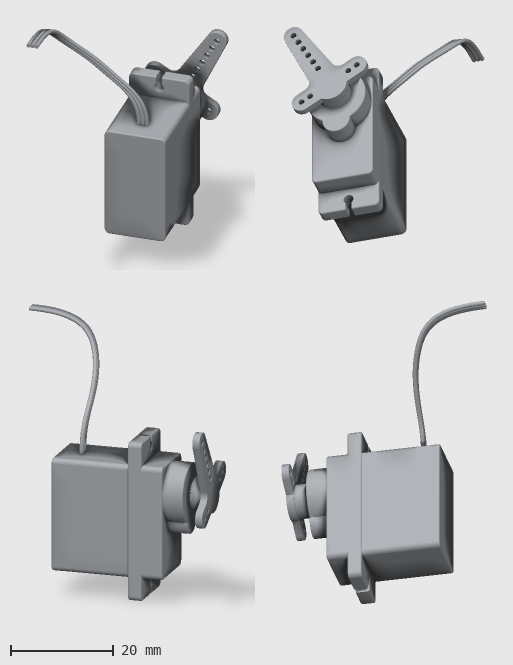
import cadquery as cq
import math


case_width = 12.4
case_height = 22.8
corner_radius = 1.0
edge_radius = 0.3
seam_y = 6.0
case_front_y = 22.65

flange_height = 32.1
flange_rear_y = 15.6
flange_thickness = 2.8
mount_hole_spacing = 27.55
mount_hole_diameter = 2.0
mount_slot_width = 1.2

axis_z = 5.15
dome_front_y = 26.8
dome_diameter = 12.0
small_dome_diameter = 5.6
small_dome_drop = 5.4
dome_edge_radius = 0.2
shaft_diameter = 4.5
tooth_count = 20
tooth_depth = 0.25

hub_rear_y = 27.5
hub_diameter = 6.8
plate_rear_y = 29.8
plate_thickness = 1.5
plate_disc_diameter = 7.25
arm_angle = 60
arm_length = 14.5
arm_root_radius = 3.1
tip_radius = 2.0
side_lobe_length = 6.5
horn_blend_radius = 1.65
plate_edge_radius = 0.15
horn_hole_diameter = 1.2
horn_hole_pitch = 2.0
arm_hole_count = 6
side_hole_count = 2

wire_diameter = 0.8
wire_count = 3
guide_end_shift = (2.55, 0, 0)
guide_bend_shift = (2.55, 0, 0.5)
wire_start = (0.25, 4.55, case_height / 2)
wire_bends = [(-5.7, 4.45, 21.15), (-10.15, 3.85, 24.95), (-14.4, 2.15, 28.7)]
wire_end = (-17.15, -11.75, 34.58)


def prism(outline, y_start, y_end):
    """Extrude an XZ outline from y_start forward to y_end."""
    return outline.extrude(y_start - y_end)


def plane_at(y, x=0, z=0):
    """XZ workplane whose local axes are X and Z."""
    return cq.Workplane("XZ", origin=(x, y, z))


def rounded_block(height, y_start, y_end):
    """Block of the case width with its four long edges rounded."""
    block = prism(plane_at(y_start).rect(case_width, height), y_start, y_end)
    return block.edges("|Y").fillet(corner_radius)


def cylinder(diameter, y_start, y_end, x=0, z=0):
    return prism(plane_at(y_start, x, z).circle(diameter / 2), y_start, y_end)


def make_flange():
    """Mounting plate with a keyhole slot open at each end."""
    front_y = flange_rear_y + flange_thickness
    flange = rounded_block(flange_height, flange_rear_y, front_y)
    flange = flange.faces("<Y or >Y").edges().fillet(edge_radius)
    for side in (-1, 1):
        hole_z = side * mount_hole_spacing / 2
        slot_length = flange_height / 2 - mount_hole_spacing / 2
        slot_z = hole_z + side * slot_length / 2
        slot_outline = plane_at(flange_rear_y, 0, slot_z).rect(mount_slot_width, slot_length)
        flange = flange.cut(prism(slot_outline, flange_rear_y, front_y))
        flange = flange.cut(cylinder(mount_hole_diameter, flange_rear_y, front_y, 0, hole_z))
    return flange


def make_dome():
    """Raised gear housing: a large and a small round boss joined together."""
    dome = cylinder(dome_diameter, case_front_y - edge_radius, dome_front_y, 0, axis_z)
    small_z = axis_z - small_dome_drop
    dome = dome.union(cylinder(small_dome_diameter, case_front_y - edge_radius, dome_front_y, 0, small_z))
    return dome.faces(">Y").edges().fillet(dome_edge_radius)


def make_shaft():
    """Toothed output shaft that ends against the horn hub."""
    tip = shaft_diameter / 2
    root = tip - tooth_depth
    quarter_pitch = math.pi / tooth_count / 2
    corner_radii = (tip, tip, root, root)
    points = []
    for i in range(4 * tooth_count):
        radius = corner_radii[i % 4]
        points.append((radius * math.cos(i * quarter_pitch), radius * math.sin(i * quarter_pitch)))
    outline = plane_at(dome_front_y, 0, axis_z).polyline(points).close()
    return prism(outline, dome_front_y, hub_rear_y)


def make_case():
    """Case body; the flange's rounded rear edge leaves a fine groove along the sides."""
    front = rounded_block(case_height, flange_rear_y + edge_radius, case_front_y)
    front = front.faces(">Y").edges().fillet(edge_radius)
    middle = rounded_block(case_height, seam_y, flange_rear_y)
    return middle.union(make_flange()).union(front).union(make_dome()).union(make_shaft())


def make_cover():
    cover = rounded_block(case_height, 0, seam_y)
    return cover.faces("<Y").edges().fillet(edge_radius)


def horn_arm(length, root_radius):
    """Arm along +X made of two round ends and their common tangents."""
    lean = math.asin((root_radius - tip_radius) / length)
    reach, rise = math.sin(lean), math.cos(lean)
    outline = (
        plane_at(plate_rear_y)
        .moveTo(root_radius * reach, root_radius * rise)
        .lineTo(length + tip_radius * reach, tip_radius * rise)
        .threePointArc((length + tip_radius, 0), (length + tip_radius * reach, -tip_radius * rise))
        .lineTo(root_radius * reach, -root_radius * rise)
        .threePointArc((-root_radius, 0), (root_radius * reach, root_radius * rise))
        .close()
    )
    return prism(outline, plate_rear_y, plate_rear_y + plate_thickness)


def make_horn():
    """Horn with one long arm, two side lobes and a hub, built along +X and then turned."""
    plate_front_y = plate_rear_y + plate_thickness
    arms = [
        (0, arm_length, arm_root_radius, arm_hole_count),
        (90, side_lobe_length, tip_radius, side_hole_count),
        (270, side_lobe_length, tip_radius, side_hole_count),
    ]
    plate = cylinder(hub_diameter, plate_rear_y, plate_front_y)
    for turn, length, root_radius, hole_count in arms:
        arm = horn_arm(length, root_radius).rotate((0, 0, 0), (0, 1, 0), -turn)
        plate = plate.union(arm)

    box = cq.selectors.BoxSelector((1, plate_rear_y - 0.5, -4.6), (4.6, plate_front_y + 0.5, 4.6))
    plate = plate.edges("|Y").edges(box).fillet(horn_blend_radius)
    plate = plate.union(cylinder(plate_disc_diameter, plate_rear_y, plate_front_y))
    plate = plate.faces("<Y").edges().fillet(plate_edge_radius)

    for turn, length, root_radius, hole_count in arms:
        for i in range(hole_count):
            distance = length - i * horn_hole_pitch
            x = distance * math.cos(math.radians(turn))
            z = distance * math.sin(math.radians(turn))
            plate = plate.cut(cylinder(horn_hole_diameter, plate_rear_y, plate_front_y, x, z))
    horn = plate.union(cylinder(hub_diameter, hub_rear_y, plate_rear_y))
    return horn.rotate((0, 0, 0), (0, 1, 0), -arm_angle).translate((0, 0, axis_z))


def shifted(point, shift):
    return tuple(p + d for p, d in zip(point, shift))


def make_wire(offset):
    """Round wire swept beside the middle of the ribbon."""
    points = [wire_start, *wire_bends, wire_end]
    path = cq.Workplane("XY").spline(points, tangents=[(0, 0, 1), (0, -1, 0)])
    guide_points = [
        shifted(wire_start, guide_end_shift),
        *[shifted(bend, guide_bend_shift) for bend in wire_bends],
        shifted(wire_end, guide_end_shift),
    ]
    guide = cq.Workplane("XY").spline(guide_points, tangents=[(0, 0, 1), (0, -1, 0)])
    section = cq.Workplane("XY", origin=wire_start).center(offset, 0).circle(wire_diameter / 2)
    return section.sweep(path, auxSpine=guide)


case = make_case()
cover = make_cover()
horn = make_horn()
wires = [make_wire((i - (wire_count - 1) / 2) * wire_diameter) for i in range(wire_count)]

result = cq.Compound.makeCompound([case.val(), cover.val(), horn.val(), *[wire.val() for wire in wires]])